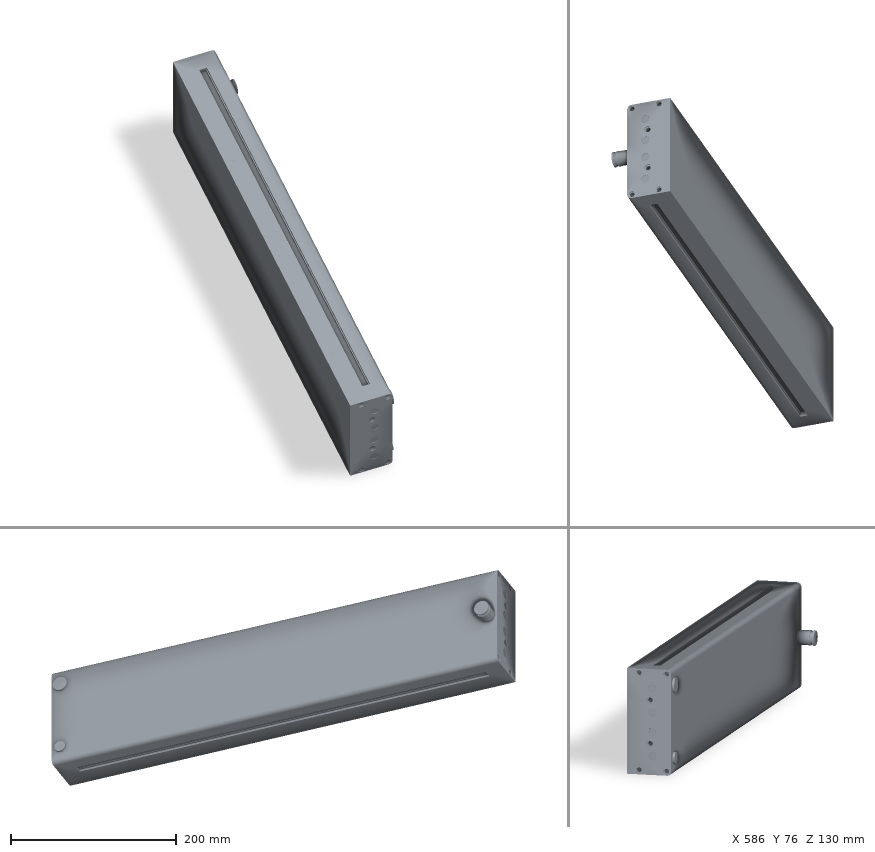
import cadquery as cq

LENGTH = 586.0
HEIGHT = 130.0
PANEL_THICKNESS = 10.5
BODY_BACK = 55.0
CAP_LENGTH = 23.5
BACK_EDGE_RADIUS = 5.0

SLOT_Y = 30.0
SLOT_MOUTH = 7.5
SLOT_WIDTH = 10.0
SLOT_STEP_DEPTH = 3.0
SLOT_DEPTH = 6.0

CORNER_HOLE_DIAMETER = 6.0
CORNER_HOLE_DEPTH = 6.0
CORNER_HEAD_DIAMETER = 7.5
CORNER_HEAD_DEPTH = 1.0
CORNER_HOLE_YS = (14.5, 49.0)
CORNER_HOLE_Z = 60.0
PORT_DIAMETER = 10.5
PORT_DEPTH = 0.5
PORT_Y = 31.5
PORT_ZS = (12.0, 41.5)
SCREW_HOLE_DIAMETER = 6.0
SCREW_HOLE_DEPTH = 9.0
SCREW_HEAD_DIAMETER = 9.0
SCREW_HEAD_DEPTH = 1.0
SCREW_HOLE_Y = 29.0
SCREW_HOLE_Z = sum(PORT_ZS) / 2

CONNECTOR_TIP = 76.0
CONNECTOR_RADIUS = 9.5
BARREL_STEP = 0.3
BARREL_RADIUS = CONNECTOR_RADIUS - BARREL_STEP
CONNECTOR_NECK_RADIUS = 8.0
CONNECTOR_NECK_LENGTH = 2.5
FLANGE_THICKNESS = 2.5
GROOVE_WIDTH = 3.0

FOOT_HEIGHT = 3.0
FOOT_Z = 44.5
UPPER_FOOT_DIAMETER = 18.0
LOWER_FOOT_DIAMETER = 14.0

PROFILE_LENGTH = LENGTH - 2 * CAP_LENGTH
CAP_CENTER_X = (LENGTH - CAP_LENGTH) / 2


def body_block(length):
    """Block of the housing section, centred on X = 0, with rounded back edges."""
    block = cq.Workplane("XY").box(length, BODY_BACK - PANEL_THICKNESS, HEIGHT, centered=(True, False, True))
    block = block.translate((0, PANEL_THICKNESS, 0))
    return block.edges("|X and >Y").fillet(BACK_EDGE_RADIUS)


def foot(z, diameter):
    """Round foot standing on the back of the right cap."""
    base = cq.Vector(CAP_CENTER_X, BODY_BACK, z)
    return cq.Workplane(cq.Solid.makeCylinder(diameter / 2, FOOT_HEIGHT, base, cq.Vector(0, 1, 0)))


def end_hole(y, z, diameter, depth):
    """Cutter for a round hole in the -X face of the left cap."""
    start = cq.Vector(-LENGTH / 2, y, z)
    return cq.Workplane(cq.Solid.makeCylinder(diameter / 2, depth, start, cq.Vector(1, 0, 0)))


def stepped_end_hole(y, z, diameter, depth, head_diameter, head_depth):
    """Cutter for an end hole with a wider, shallow mouth."""
    return end_hole(y, z, diameter, depth).union(end_hole(y, z, head_diameter, head_depth))


def make_panel():
    """Flat front panel covering the profile and both caps."""
    return cq.Workplane("XY").box(LENGTH, PANEL_THICKNESS, HEIGHT, centered=(True, False, True))


def make_profile():
    """Middle housing section with a slot along its top and bottom."""
    profile = body_block(PROFILE_LENGTH)
    for side in (-1, 1):
        for width, depth in ((SLOT_WIDTH, SLOT_STEP_DEPTH), (SLOT_MOUTH, SLOT_DEPTH)):
            groove = cq.Workplane("XY").box(PROFILE_LENGTH, width, 2 * depth)
            profile = profile.cut(groove.translate((0, SLOT_Y, side * HEIGHT / 2)))
    return profile


def make_plain_left_cap():
    """Left end cap with the holes of its outer face."""
    cap = body_block(CAP_LENGTH).translate((-CAP_CENTER_X, 0, 0))
    for side in (-1, 1):
        for y in CORNER_HOLE_YS:
            corner_hole = stepped_end_hole(
                y,
                side * CORNER_HOLE_Z,
                CORNER_HOLE_DIAMETER,
                CORNER_HOLE_DEPTH,
                CORNER_HEAD_DIAMETER,
                CORNER_HEAD_DEPTH,
            )
            cap = cap.cut(corner_hole)
        for z in PORT_ZS:
            cap = cap.cut(end_hole(PORT_Y, side * z, PORT_DIAMETER, PORT_DEPTH))
        screw_hole = stepped_end_hole(
            SCREW_HOLE_Y,
            side * SCREW_HOLE_Z,
            SCREW_HOLE_DIAMETER,
            SCREW_HOLE_DEPTH,
            SCREW_HEAD_DIAMETER,
            SCREW_HEAD_DEPTH,
        )
        cap = cap.cut(screw_hole)
    return cap


def make_connector():
    """Connector as a revolved outline: neck, barrel, ring, groove and end flange."""
    barrel_start = BODY_BACK + CONNECTOR_NECK_LENGTH
    groove_end = CONNECTOR_TIP - FLANGE_THICKNESS
    groove_start = groove_end - GROOVE_WIDTH
    ring_start = groove_start - FLANGE_THICKNESS
    outline = (
        cq.Workplane("YZ")
        .moveTo(BODY_BACK, 0)
        .lineTo(BODY_BACK, CONNECTOR_NECK_RADIUS)
        .lineTo(barrel_start, CONNECTOR_NECK_RADIUS)
        .lineTo(barrel_start, BARREL_RADIUS)
        .lineTo(ring_start, BARREL_RADIUS)
        .lineTo(ring_start, CONNECTOR_RADIUS)
        .lineTo(groove_start, CONNECTOR_RADIUS)
        .lineTo(groove_start, CONNECTOR_NECK_RADIUS)
        .lineTo(groove_end, CONNECTOR_NECK_RADIUS)
        .lineTo(groove_end, CONNECTOR_RADIUS)
        .lineTo(CONNECTOR_TIP, CONNECTOR_RADIUS)
        .lineTo(CONNECTOR_TIP, 0)
        .close()
    )
    return outline.revolve(360, (0, 0, 0), (1, 0, 0)).translate((-CAP_CENTER_X, 0, 0))


def make_left_cap():
    """Left end cap with the connector on its back."""
    return make_plain_left_cap().union(make_connector())


def make_right_cap():
    """Mirror image of the left cap, with two feet in place of the connector."""
    cap = make_plain_left_cap().mirror("YZ")
    for z, diameter in ((FOOT_Z, UPPER_FOOT_DIAMETER), (-FOOT_Z, LOWER_FOOT_DIAMETER)):
        cap = cap.union(foot(z, diameter))
    return cap


panel = make_panel()
profile = make_profile()
left_cap = make_left_cap()
right_cap = make_right_cap()

result = cq.Compound.makeCompound([panel.val(), profile.val(), left_cap.val(), right_cap.val()])